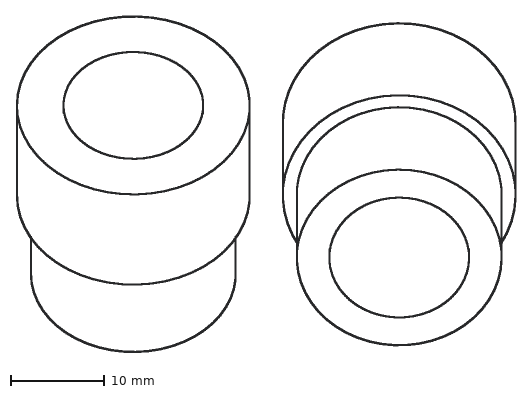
import cadquery as cq

total_height = 28.0
head_height = 15.0
head_diameter = 25.0
spigot_diameter = 22.0
bore_diameter = 15.0

spigot_height = total_height - head_height

spigot = cq.Workplane("XY").circle(spigot_diameter / 2).extrude(spigot_height)

bushing = spigot.faces(">Z").workplane().circle(head_diameter / 2).extrude(head_height)

bore = cq.Workplane("XY").circle(bore_diameter / 2).extrude(total_height)

result = bushing.cut(bore)